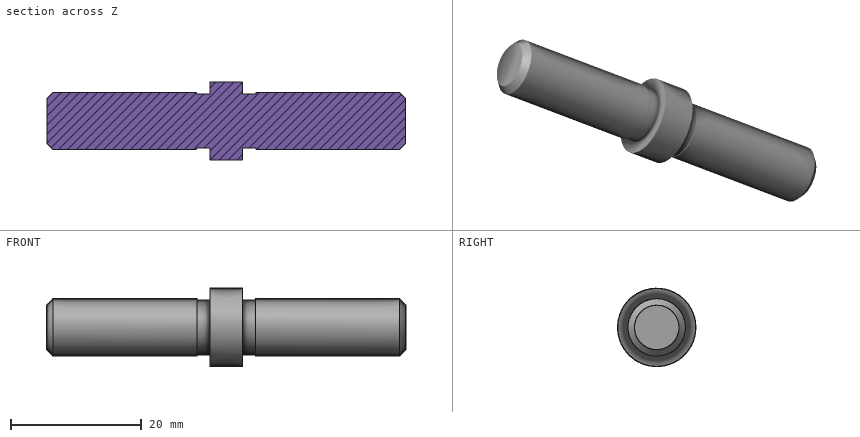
import cadquery as cq

TOTAL_LENGTH = 55.0
COLLAR_DIAMETER = 12.0
COLLAR_LENGTH = 5.0
SHAFT_DIAMETER = 8.8
NECK_DIAMETER = 8.4
NECK_LENGTH = 2.0
END_CHAMFER = 1.0

NECK_SPAN = COLLAR_LENGTH + 2 * NECK_LENGTH
SHAFT_LENGTH = (TOTAL_LENGTH - NECK_SPAN) / 2


def cylinder_along_x(diameter, length, start_x):
    return cq.Workplane("YZ", origin=(start_x, 0, 0)).circle(diameter / 2).extrude(length)


def make_shaft():
    """Shaft on the -X side, chamfered at its free end."""
    shaft = cylinder_along_x(SHAFT_DIAMETER, SHAFT_LENGTH, -TOTAL_LENGTH / 2)
    return shaft.faces("<X").chamfer(END_CHAMFER)


left_shaft = make_shaft()
right_shaft = left_shaft.mirror("YZ")
necks = cylinder_along_x(NECK_DIAMETER, NECK_SPAN, -NECK_SPAN / 2)
collar = cylinder_along_x(COLLAR_DIAMETER, COLLAR_LENGTH, -COLLAR_LENGTH / 2)

result = collar.union(necks).union(left_shaft).union(right_shaft)